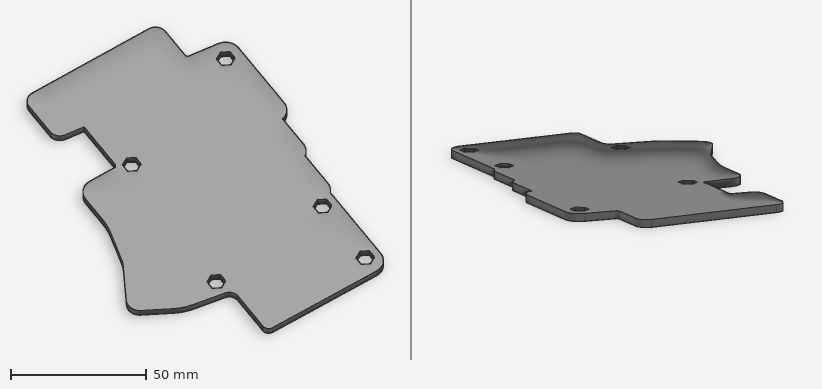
import cadquery as cq
import math

length = 138.0
width = 99.1
thickness = 3.0

large_radius = 5.8
medium_radius = 4.4
lobe_notch_radius = 3.7
ledge_radius = 2.5
inner_radius = 1.1

second_tier_y = 94.5
third_tier_y = 92.0
right_shoulder_y = 90.4
left_shoulder_y = 80.9
right_ledge_y = 35.9
left_notch_y = 31.7
left_foot_y = 20.1
middle_foot_y = 14.0

first_tier_end = 61.5
second_tier_end = 81.0
third_tier_end = 100.7
tier_overlap = 20.7

upper_flank_top_x = 20.5
upper_flank_bottom_x = 18.4
foot_flank_top_x = 23.5
foot_flank_bottom_x = 22.1
middle_foot_x = 45.0

right_edge_lean = math.radians(0.3)
right_edge_top_x = length + large_radius * (1 / math.cos(right_edge_lean) + math.tan(right_edge_lean) - 1)
right_edge_bottom_x = right_edge_top_x - (right_shoulder_y - right_ledge_y) * math.tan(right_edge_lean)

lobe_tilt = math.radians(30)
lobe_tip_x = 101.6
lobe_tip_radius = 5.0
lobe_tip_y = lobe_tip_radius * (1 - math.sin(lobe_tilt) - math.cos(lobe_tilt))
lobe_flank_top_x = 115.5
lobe_shoulder_y = 16.3
lobe_shoulder_x = lobe_tip_x + (lobe_shoulder_y - lobe_tip_y) * math.tan(lobe_tilt)
lobe_shoulder_radius = 20.7

first_bend_x = 65.4
first_bend_radius = 27.6
second_bend_x = 82.5
second_bend_y = lobe_tip_y + (lobe_tip_x - second_bend_x) * math.tan(lobe_tilt)
second_bend_radius = 13.8

hex_across_flats = 6.0
hex_across_corners = hex_across_flats / math.cos(math.pi / 6)
hex_centers = [
    (27.0, 92.5),
    (102.4, 84.6),
    (130.5, 84.6),
    (47.3, 36.8),
    (108.8, 33.0),
]

plate_corners = [
    ((0, left_foot_y), medium_radius),
    ((0, left_shoulder_y), medium_radius),
    ((upper_flank_bottom_x, left_shoulder_y), inner_radius),
    ((upper_flank_top_x, width), large_radius),
    ((first_tier_end, width), large_radius),
    ((first_tier_end, right_shoulder_y), 0),
    ((right_edge_top_x, right_shoulder_y), large_radius),
    ((right_edge_bottom_x, right_ledge_y), ledge_radius),
    ((lobe_flank_top_x, right_ledge_y), lobe_notch_radius),
    ((lobe_shoulder_x, lobe_shoulder_y), lobe_shoulder_radius),
    ((lobe_tip_x, lobe_tip_y), lobe_tip_radius),
    ((second_bend_x, second_bend_y), second_bend_radius),
    ((first_bend_x, middle_foot_y), first_bend_radius),
    ((middle_foot_x, middle_foot_y), large_radius),
    ((middle_foot_x, left_notch_y), inner_radius),
    ((foot_flank_top_x, left_notch_y), 0),
    ((foot_flank_bottom_x, left_foot_y), medium_radius),
]


def rounded_plate(corners):
    """Extrude a polygon and round its upright edges by the radius given at each corner."""
    plate = cq.Workplane("XY").polyline([point for point, _ in corners]).close().extrude(thickness)
    for (x, y), radius in corners:
        if radius > 0:
            edge = cq.selectors.NearestToPointSelector((x, y, thickness / 2))
            plate = plate.edges("|Z").edges(edge).fillet(radius)
    return plate


def tier(start_x, end_x, top_y):
    """Raise the top edge to top_y; only the rounded right corner shows above the next step."""
    bottom_y = left_shoulder_y
    return rounded_plate([
        ((start_x, bottom_y), 0),
        ((start_x, top_y), 0),
        ((end_x, top_y), large_radius),
        ((end_x, bottom_y), 0),
    ])


def hex_holes():
    """Prisms that cut the hexagonal holes."""
    return cq.Workplane("XY").pushPoints(hex_centers).polygon(6, hex_across_corners).extrude(thickness)


plate = rounded_plate(plate_corners)
plate = plate.union(tier(first_tier_end - tier_overlap, second_tier_end, second_tier_y))
plate = plate.union(tier(second_tier_end - tier_overlap, third_tier_end, third_tier_y))
result = plate.cut(hex_holes()).clean()